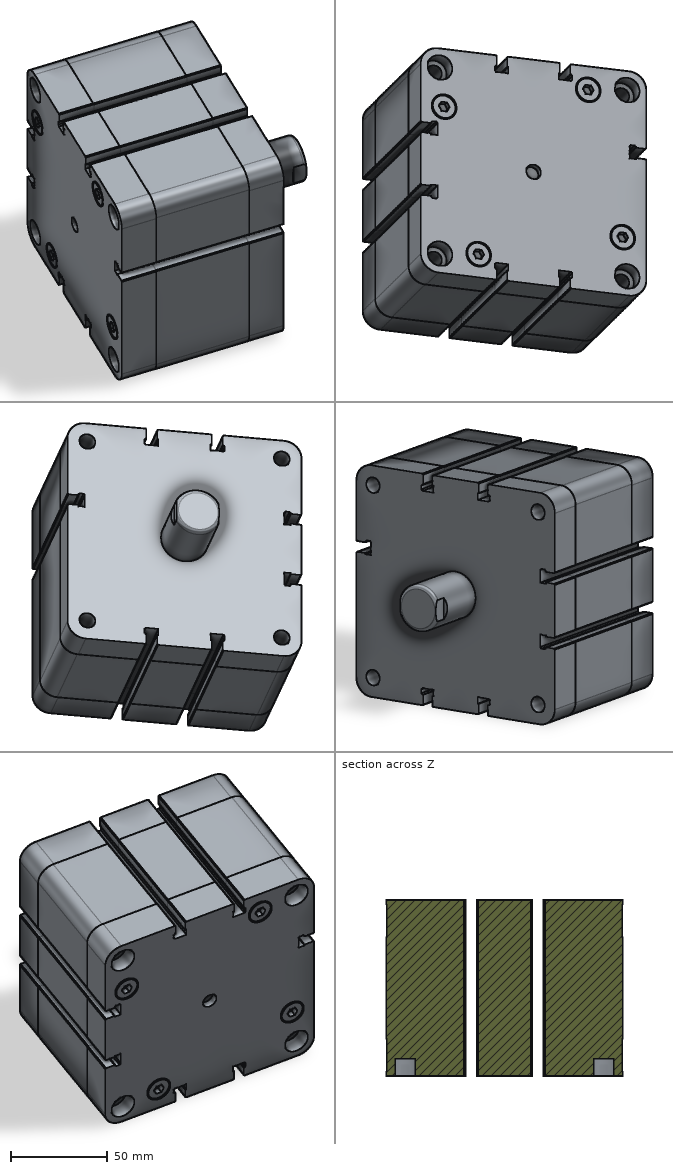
import cadquery as cq
import math

body_side = 124.0
total_length = 126.5
body_length = 91.5
cap_length = 19.5
cap_corner_radius = 9.5
barrel_side = 123.7
barrel_corner_radius = 8.9
half_side = body_side / 2

rod_diameter = 25.0
rod_end_radius = 2.0
flat_spacing = 22.3
flat_length = 7.3
rod_overlap = 1.3
rod_radius = rod_diameter / 2

slot_offset = 17.3
slot_mouth_width = 5.7
slot_depth = 9.2
slot_neck_depth = 5.7
slot_lip = 0.5
inner_undercut = 0.6
outer_undercut = 1.1
undercut_bevel = 0.8
slot_places = [
    (0, False),
    (0, True),
    (180, False),
    (180, True),
    (-90, False),
    (-90, True),
    (90, True),
]

hole_offset = 51.5
hole_diameter = 8.3
counterbore_diameter = 13.5
counterbore_depth = 9.0

screw_near_offset = 30.1
screw_far_offset = 49.1
screw_recess_diameter = 13.5
screw_head_diameter = 12.5
screw_gap_depth = 0.5
socket_across_flats = 5.0
socket_depth = 3.5

center_hole_diameter = 8.0
center_hole_depth = 4.0


def front_plane(y):
    """Workplane at the given Y, with local axes along X and Z; negative extrusions run toward +Y."""
    return cq.Workplane("XZ", origin=(0, y, 0))


def make_slot(y_start, length, top, mirrored, turn):
    """Slot opening at height top, its wider undercut facing away from the middle, turned about Y."""
    half_mouth = slot_mouth_width / 2
    neck = half_side - slot_neck_depth
    floor = half_side - slot_depth
    inner = slot_offset - half_mouth
    outer = slot_offset + half_mouth
    points = [
        (inner - slot_lip, top),
        (inner, top - slot_lip),
        (inner, neck),
        (inner - inner_undercut, neck),
        (inner - inner_undercut, floor),
        (outer + outer_undercut - undercut_bevel, floor),
        (outer + outer_undercut, floor + undercut_bevel),
        (outer + outer_undercut, neck - undercut_bevel),
        (outer + outer_undercut - undercut_bevel, neck),
        (outer, neck),
        (outer, top - slot_lip),
        (outer + slot_lip, top),
    ]
    side = -1 if mirrored else 1
    outline = [(side * x, z) for x, z in points]
    slot = front_plane(y_start).polyline(outline).close().extrude(-length)
    return slot.rotate((0, 0, 0), (0, 1, 0), turn)


def body_section(y_start, length, side, corner_radius):
    block = front_plane(y_start).rect(side, side).extrude(-length)
    block = block.edges("|Y").fillet(corner_radius)
    for turn, mirrored in slot_places:
        block = block.cut(make_slot(y_start, length, side / 2, mirrored, turn))
    return block


def make_body():
    barrel_length = body_length - 2 * cap_length
    rear_cap_start = body_length - cap_length
    front_cap = body_section(0, cap_length, body_side, cap_corner_radius)
    barrel = body_section(cap_length, barrel_length, barrel_side, barrel_corner_radius)
    rear_cap = body_section(rear_cap_start, cap_length, body_side, cap_corner_radius)
    return front_cap.union(barrel, clean=False).union(rear_cap, clean=False)


def make_rod():
    root = body_length - rod_overlap
    rod = front_plane(root).circle(rod_radius).extrude(root - total_length)
    rod = rod.faces(">Y").edges().fillet(rod_end_radius)
    half_flat = flat_spacing / 2
    run_out = rod_radius - half_flat
    flat_start = total_length - flat_length
    for side in (-1, 1):
        cutter = (
            cq.Workplane("XY")
            .moveTo(side * half_flat, total_length)
            .lineTo(side * half_flat, flat_start)
            .lineTo(side * (half_flat + run_out), flat_start - run_out)
            .lineTo(side * (half_flat + run_out), total_length)
            .close()
            .extrude(rod_radius, both=True)
        )
        rod = rod.cut(cutter)
    return rod


def make_corner_holes():
    corners = [(x, z) for x in (-hole_offset, hole_offset) for z in (-hole_offset, hole_offset)]
    through = front_plane(0).pushPoints(corners).circle(hole_diameter / 2).extrude(-body_length)
    wide = front_plane(0).pushPoints(corners).circle(counterbore_diameter / 2).extrude(-counterbore_depth)
    return through.union(wide)


def make_screw_cuts():
    near = screw_near_offset
    far = screw_far_offset
    centers = [(near, far), (far, -near), (-near, -far), (-far, near)]
    socket_across_corners = socket_across_flats / math.cos(math.pi / 6)
    gaps = (
        front_plane(0)
        .pushPoints(centers)
        .circle(screw_recess_diameter / 2)
        .circle(screw_head_diameter / 2)
        .extrude(-screw_gap_depth)
    )
    sockets = front_plane(0).pushPoints(centers).polygon(6, socket_across_corners).extrude(-socket_depth)
    return gaps.union(sockets)


result = make_body().union(make_rod(), clean=False)
result = result.cut(make_corner_holes(), clean=False)
result = result.cut(make_screw_cuts(), clean=False)
center_hole = front_plane(0).circle(center_hole_diameter / 2).extrude(-center_hole_depth)
result = result.cut(center_hole, clean=False)